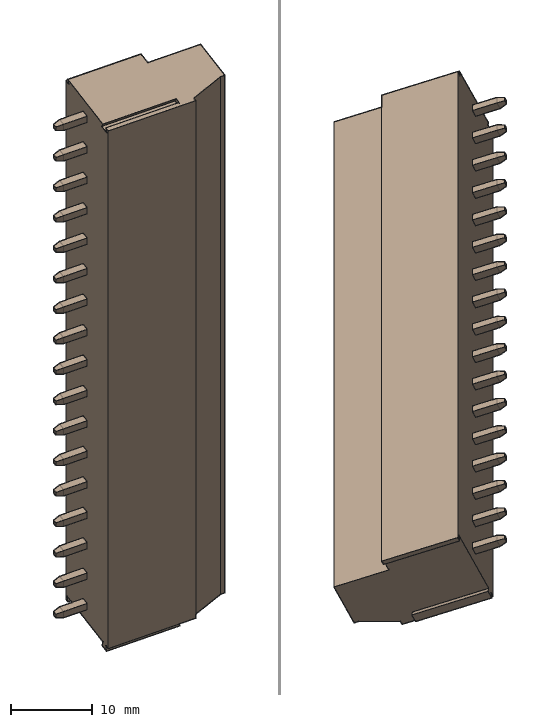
import cadquery as cq

total_height = 85.65
key_height = 0.8
housing_height = total_height - key_height
housing_width = 11.2
housing_depth = 17.4

base_depth = 10.1
step_width = 2.3
nose_x = 8.7
nose_drop = 0.6
slope_end_x = 10.7
slope_end_drop = 5.3

groove_depth = 0.6
dovetail_x = 10.2
dovetail_neck = 0.8
dovetail_key_flare = 1.2
dovetail_groove_flare = 1.4
edge_key_neck = 0.3
edge_key_flare = 0.6
edge_groove_neck = 0.5
edge_groove_flare = 0.8

pin_count = 17
pin_pitch = housing_height / pin_count
pin_x = 5.1
pin_size = 1.0
pin_length = 4.2
pin_tip_length = 0.9
pin_tip_size = 0.6
first_pin_z = pin_pitch / 2


def make_housing():
    """Stepped and sloped profile in the XY plane, extruded up to the full housing height."""
    return (
        cq.Workplane("XY")
        .moveTo(0, 0)
        .lineTo(housing_width, 0)
        .lineTo(housing_width, housing_depth - slope_end_drop)
        .lineTo(slope_end_x, housing_depth - slope_end_drop)
        .lineTo(nose_x, housing_depth - nose_drop)
        .lineTo(nose_x, housing_depth)
        .lineTo(step_width, housing_depth)
        .lineTo(step_width, base_depth)
        .lineTo(0, base_depth)
        .close()
        .extrude(housing_height)
    )


def make_bar(section):
    """Straight bar along Y over the base depth, from its outline as (x, z) points."""
    return cq.Workplane("XZ").polyline(section).close().extrude(-base_depth)


def dovetail_section(neck_z, flare_z, flare):
    """Symmetric dovetail outline, narrow at neck_z and wide at flare_z."""
    return [
        (dovetail_x - dovetail_neck / 2, neck_z),
        (dovetail_x + dovetail_neck / 2, neck_z),
        (dovetail_x + flare / 2, flare_z),
        (dovetail_x - flare / 2, flare_z),
    ]


def make_pin(z):
    """Square pin on the -Y face, tapering at its end."""
    shank_length = pin_length - pin_tip_length
    shank = (
        cq.Workplane("XZ", origin=(pin_x, 0, z))
        .rect(pin_size, pin_size)
        .extrude(shank_length)
    )
    tip = (
        cq.Workplane("XZ", origin=(pin_x, -shank_length, z))
        .rect(pin_size, pin_size)
        .workplane(offset=pin_tip_length)
        .rect(pin_tip_size, pin_tip_size)
        .loft()
    )
    return shank.union(tip)


edge_key = make_bar([(0, 0), (edge_key_neck, 0), (edge_key_flare, -key_height), (0, -key_height)])
dovetail_key = make_bar(dovetail_section(0, -key_height, dovetail_key_flare))

groove_floor_z = housing_height - groove_depth
edge_groove = make_bar([
    (0, groove_floor_z),
    (edge_groove_flare, groove_floor_z),
    (edge_groove_neck, housing_height),
    (0, housing_height),
])
dovetail_groove = make_bar(
    dovetail_section(housing_height, groove_floor_z, dovetail_groove_flare)
)

result = make_housing().union(edge_key).union(dovetail_key).cut(edge_groove).cut(dovetail_groove)

for index in range(pin_count):
    result = result.union(make_pin(first_pin_z + index * pin_pitch))